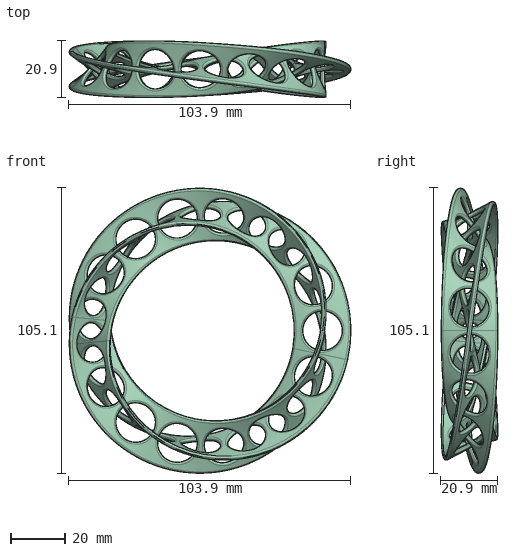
import cadquery as cq
import math

mean_diameter = 85.5
turns = 2
half_twists = 3
strip_width = 20.9
strip_thickness = 1.6
edge_round = 0.7

window_count = 31
window_radius = 7.3
window_pitch = 360.0 * turns / window_count

windows_per_length = 8
sections_per_window = 2


def strip_frame(angle):
    """Plane square to the strip at a ring angle: local x across its width, local y through its thickness."""
    turn = math.radians(angle)
    twist = turn * half_twists / (2 * turns)
    radial = cq.Vector(math.cos(turn), 0, math.sin(turn))
    tangent = cq.Vector(-math.sin(turn), 0, math.cos(turn))
    across = radial * math.cos(twist) + cq.Vector(0, math.sin(twist), 0)
    return cq.Plane(origin=radial * (mean_diameter / 2), xDir=across, normal=tangent)


def strip_section(angle):
    """Outline of the strip at a ring angle, with rounded corners."""
    outline = cq.Workplane(strip_frame(angle)).rect(strip_width, strip_thickness).val()
    return outline.fillet2D(edge_round, outline.Vertices())


def window_cutter(angle):
    """Cylinder through the strip, square to its face at a ring angle."""
    frame = strip_frame(angle)
    depth = 4 * strip_thickness
    return cq.Solid.makeCylinder(window_radius, depth, frame.origin - frame.yDir * (depth / 2), frame.yDir)


def strip_length(first_window, windows):
    """Twisted length of strip with its windows cut and their rims rounded."""
    start = (first_window - 0.5) * window_pitch
    step = window_pitch / sections_per_window
    sections = [strip_section(start + i * step) for i in range(windows * sections_per_window + 1)]
    length = cq.Workplane(obj=cq.Solid.makeLoft(sections))
    for window in range(first_window, first_window + windows):
        length = length.cut(cq.Workplane(obj=window_cutter(window * window_pitch)))
    return length.faces("%CYLINDER").edges("not %LINE").fillet(edge_round)


skin = []
for first_window in range(0, window_count, windows_per_length):
    windows = min(windows_per_length, window_count - first_window)
    skin += strip_length(first_window, windows).faces("not %PLANE").vals()

result = cq.Workplane(obj=cq.Solid.makeSolid(cq.Shell.makeShell(skin)))